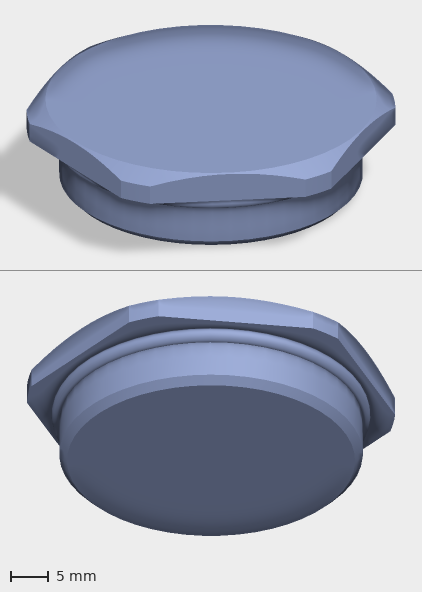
import cadquery as cq
import math

across_flats = 44.0
corner_diameter = 48.6
head_height = 4.0
total_height = 12.0
top_face_diameter = 43.62
head_chamfer_angle = 30.0
shank_diameter = 40.0
shank_chamfer = 1.0
ring_inner_diameter = 38.0
ring_section_diameter = 2.0

corner_radius = corner_diameter / 2
top_face_radius = top_face_diameter / 2
hex_corner_diameter = across_flats / math.cos(math.pi / 6)
head_chamfer_height = (corner_radius - top_face_radius) * math.tan(math.radians(head_chamfer_angle))
shank_length = total_height - head_height
ring_center_radius = (ring_inner_diameter + ring_section_diameter) / 2


def make_head():
    """Hexagonal head with turned corners and a conical chamfer around its top face."""
    hexagon = cq.Workplane("XY").polygon(6, hex_corner_diameter).extrude(head_height)
    turned_envelope = (
        cq.Workplane("XZ")
        .moveTo(0, 0)
        .lineTo(corner_radius, 0)
        .lineTo(corner_radius, head_height - head_chamfer_height)
        .lineTo(top_face_radius, head_height)
        .lineTo(0, head_height)
        .close()
        .revolve(360, (0, 0, 0), (0, 1, 0))
    )
    return hexagon.intersect(turned_envelope)


def make_shank():
    """Round shank below the head, chamfered at its lower end."""
    return (
        cq.Workplane("XY")
        .circle(shank_diameter / 2)
        .extrude(-shank_length)
        .faces("<Z")
        .chamfer(shank_chamfer)
    )


def make_ring_groove():
    """Rectangular groove directly under the head that seats the sealing ring."""
    return (
        cq.Workplane("XY")
        .circle(corner_radius)
        .circle(ring_inner_diameter / 2)
        .extrude(-ring_section_diameter)
    )


def make_plug():
    """Screw plug: head and shank in one piece, with the ring groove cut in the shank."""
    return make_head().union(make_shank().cut(make_ring_groove()))


def make_sealing_ring():
    """O-ring that touches the groove floor and both groove walls."""
    return (
        cq.Workplane("XZ")
        .center(ring_center_radius, -ring_section_diameter / 2)
        .circle(ring_section_diameter / 2)
        .revolve(360, (-ring_center_radius, 0, 0), (-ring_center_radius, 1, 0))
    )


plug = make_plug()
sealing_ring = make_sealing_ring()

result = cq.Compound.makeCompound([plug.val(), sealing_ring.val()])